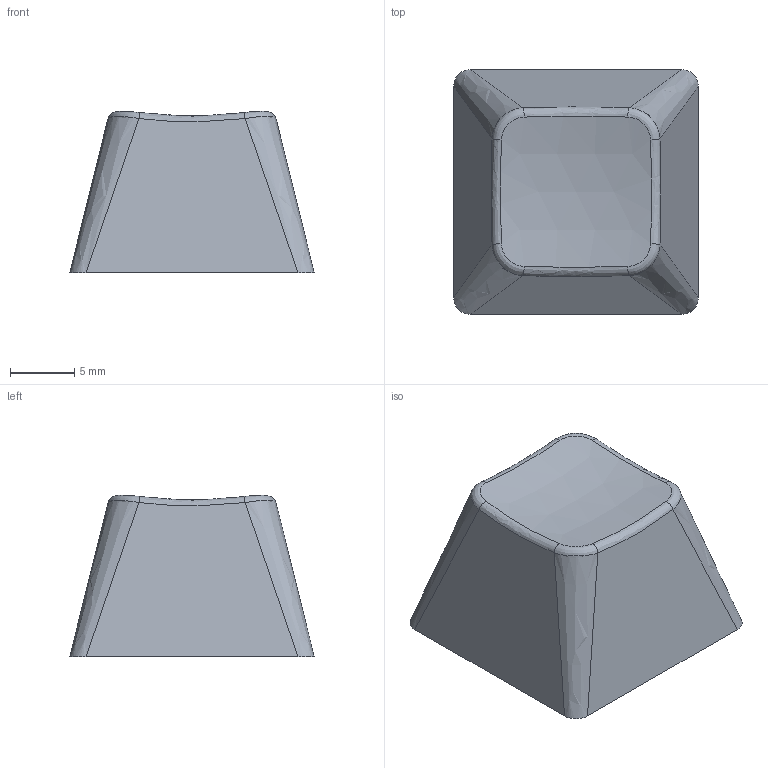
import cadquery as cq

base_side = 19.05
base_corner_radius = 1.27
top_side = 12.60
top_corner_radius = 2.5
blank_height = 13.0

dish_radius = 32.0
dish_bottom_height = 11.68
rim_radius = 0.63


def rounded_square(side, corner_radius, height):
    """Rounded square outline, centred on the Z axis at the given height."""
    return cq.Sketch().rect(side, side).vertices().fillet(corner_radius).moved(
        cq.Location(cq.Vector(0, 0, height))
    )


def tapered_body():
    """Solid skirt whose corner rounding grows towards the top."""
    bottom = rounded_square(base_side, base_corner_radius, 0)
    top = rounded_square(top_side, top_corner_radius, blank_height)
    return cq.Workplane("XY").placeSketch(bottom, top).loft(ruled=True)


def dish_cutter():
    """Ball centred above the body, touching the lowest point of the dish."""
    return cq.Workplane("XY", origin=(0, 0, dish_bottom_height + dish_radius)).sphere(
        dish_radius, direct=(0, 1, 0)
    )


def round_rim(body):
    """Round the edge between the dish and the skirt."""
    return body.faces("%SPHERE").edges().fillet(rim_radius)


dished_body = tapered_body().cut(dish_cutter())
result = round_rim(dished_body)